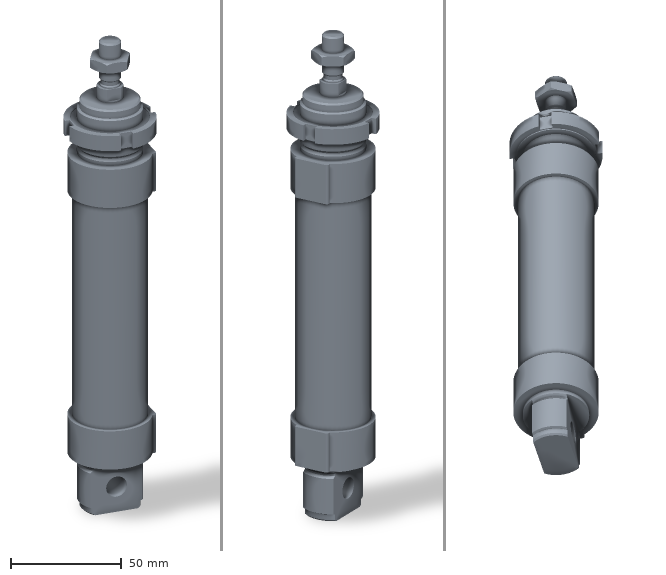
import cadquery as cq
import math

total_height = 231.5

thread_dia = 30.0
nose_dia = 27.7
nose_tip_dia = 26.2
nose_tip_chamfer = (nose_dia - nose_tip_dia) / 2
front_nose_length = 4.1
rear_nose_length = 3.4
nose_shoulder_height = 0.6
relief_dia = 27.8
relief_slope = (thread_dia - relief_dia) / 2

cap_dia = 38.5
cap_height = 19.0
rear_cap_bottom = 26.5
rear_cap_top = rear_cap_bottom + cap_height
front_cap_top = 175.7
front_cap_bottom = front_cap_top - cap_height
nose_top = 202.7
tube_dia = 34.5
port_pad_width = 17.5
port_pad_reach = cap_dia / 2
port_pad_edge_radius = 1.0
rear_relief_bottom = 21.2
rear_relief_top = 24.3
front_relief_bottom = 177.6
front_relief_top = 180.1
tang_thickness = 16.0
tang_top = 24.5
tang_hole_dia = 10.0
tang_hole_height = 12.5

rod_dia = 12.0
rod_bottom = front_cap_bottom
rod_shoulder = 209.2
rod_flat_distance = 10.0
rod_flat_bottom = 203.5
stud_dia = 10.0
stud_bottom = 213.0
stud_tip_dia = 8.57
stud_tip_chamfer = 0.8
stud_neck_dia = 8.4
stud_neck_slope = (stud_dia - stud_neck_dia) / 2
stud_collar_dia = 9.4
stud_collar_height = 0.7
stud_collar_slope = (stud_collar_dia - stud_neck_dia) / 2

hex_flat_distance = 17.0
hex_height = 5.0
hex_bottom = 218.7
hex_face_dia = 17.5
hex_chamfer_angle = 30.0

ring_dia = 42.0
ring_bottom = 185.3
ring_height = 8.0
ring_face_dia = 36.0
ring_face_height = 0.5
ring_slot_width = 6.0
ring_slot_floor = 18.5


def turned(profile):
    """Solid of revolution about Z from (diameter, height) points, closed along the axis."""
    points = [(dia / 2, z) for dia, z in profile]
    axis_start = (0, profile[0][1])
    axis_end = (0, profile[-1][1])
    outline = cq.Workplane("XZ").polyline([axis_start, *points, axis_end]).close()
    return outline.revolve(360, (0, 0, 0), (0, 1, 0))


def cylinder(dia, bottom, top):
    """Solid cylinder on the Z axis between two heights."""
    return cq.Workplane("XY").workplane(offset=bottom).circle(dia / 2).extrude(top - bottom)


def make_nose(tip, inward, length):
    """Nose from its tip to the full thread, with a chamfered rim; inward is +1 or -1 along Z."""
    shoulder = tip + inward * length
    nose = turned([
        (nose_dia, tip),
        (nose_dia, shoulder),
        (thread_dia, shoulder + inward * nose_shoulder_height),
    ])
    rim = "<Z" if inward > 0 else ">Z"
    return nose.faces(rim).edges().chamfer(nose_tip_chamfer)


def relief_profile(bottom, top):
    """Thread relief groove outline with 45 degree sides, from the bottom up."""
    return [
        (thread_dia, bottom),
        (relief_dia, bottom + relief_slope),
        (relief_dia, top - relief_slope),
        (thread_dia, top),
    ]


def make_cap(bottom):
    """Round end cap with a flat port pad on the +Y side."""
    cap = cylinder(cap_dia, bottom, bottom + cap_height)
    pad = (
        cq.Workplane("XY")
        .workplane(offset=bottom)
        .center(0, port_pad_reach / 2)
        .rect(port_pad_width, port_pad_reach)
        .extrude(cap_height)
        .edges("|Z and >Y")
        .fillet(port_pad_edge_radius)
    )
    return cap.union(pad)


def make_tang():
    """Rear threaded stem, flattened on both X sides and cross-drilled along X."""
    thread = turned(
        [(thread_dia, rear_nose_length + nose_shoulder_height)]
        + relief_profile(rear_relief_bottom, rear_relief_top)
        + [(thread_dia, rear_cap_bottom)]
    )
    stem = thread.union(make_nose(0, 1, rear_nose_length))
    for side in (-1, 1):
        waste = (
            cq.Workplane("XY")
            .center(side * (tang_thickness + thread_dia) / 2, 0)
            .rect(thread_dia, 2 * thread_dia)
            .extrude(tang_top)
        )
        stem = stem.cut(waste)
    hole = (
        cq.Workplane("YZ")
        .center(0, tang_hole_height)
        .circle(tang_hole_dia / 2)
        .extrude(tang_thickness, both=True)
    )
    return stem.cut(hole)


def make_body():
    """Tube, both end caps, front threaded nose and rear tang, bored from the front for the rod."""
    thread = turned(
        [(thread_dia, front_cap_top)]
        + relief_profile(front_relief_bottom, front_relief_top)
        + [(thread_dia, nose_top - front_nose_length - nose_shoulder_height)]
    )
    tube = cylinder(tube_dia, rear_cap_top, front_cap_bottom)
    body = tube.union(make_cap(rear_cap_bottom)).union(make_cap(front_cap_bottom))
    nose = make_nose(nose_top, -1, front_nose_length)
    body = body.union(thread).union(nose).union(make_tang())
    return body.cut(cylinder(rod_dia, rod_bottom, nose_top))


def make_rod():
    """Piston rod with two wrench flats, a necked root and a threaded stud on top."""
    collar_top = rod_shoulder + stud_collar_height
    rod = turned([
        (rod_dia, rod_bottom),
        (rod_dia, rod_shoulder),
        (stud_collar_dia, rod_shoulder),
        (stud_collar_dia, collar_top),
        (stud_neck_dia, collar_top + stud_collar_slope),
        (stud_neck_dia, stud_bottom - stud_neck_slope),
        (stud_dia, stud_bottom),
        (stud_dia, total_height - stud_tip_chamfer),
        (stud_tip_dia, total_height),
    ])
    for side in (-1, 1):
        waste = (
            cq.Workplane("XY")
            .workplane(offset=rod_flat_bottom)
            .center(side * (rod_flat_distance + rod_dia) / 2, 0)
            .rect(rod_dia, 2 * rod_dia)
            .extrude(rod_shoulder - rod_flat_bottom)
        )
        rod = rod.cut(waste)
    return rod


def make_hex_nut():
    """Hex nut with flats facing +X and -X and corners turned down on both faces."""
    corner_dia = hex_flat_distance / math.cos(math.pi / 6)
    chamfer = (corner_dia - hex_face_dia) / 2 * math.tan(math.radians(hex_chamfer_angle))
    top = hex_bottom + hex_height
    blank = (
        cq.Workplane("XY")
        .workplane(offset=hex_bottom)
        .polygon(6, corner_dia)
        .extrude(hex_height)
        .rotate((0, 0, 0), (0, 0, 1), 90)
    )
    envelope = turned([
        (hex_face_dia, hex_bottom),
        (corner_dia, hex_bottom + chamfer),
        (corner_dia, top - chamfer),
        (hex_face_dia, top),
    ])
    return blank.intersect(envelope).cut(cylinder(stud_dia, hex_bottom, top))


def make_ring_nut():
    """Ring nut with a raised lower face, a recessed upper face and four spanner slots."""
    top = ring_bottom + ring_height
    ring = cylinder(ring_dia, ring_bottom + ring_face_height, top)
    ring = ring.union(cylinder(ring_face_dia, ring_bottom, top))
    slot_depth = ring_dia / 2 - ring_slot_floor
    slots = (
        cq.Workplane("XY")
        .workplane(offset=ring_bottom)
        .polarArray(ring_slot_floor + slot_depth / 2, 0, 360, 4)
        .rect(slot_depth, ring_slot_width)
        .extrude(ring_height)
    )
    recess = cylinder(ring_face_dia, top - ring_face_height, top)
    return ring.cut(recess).cut(slots).cut(cylinder(thread_dia, ring_bottom, top))


body = make_body()
rod = make_rod()
hex_nut = make_hex_nut()
ring_nut = make_ring_nut()

result = cq.Compound.makeCompound([body.val(), rod.val(), hex_nut.val(), ring_nut.val()])